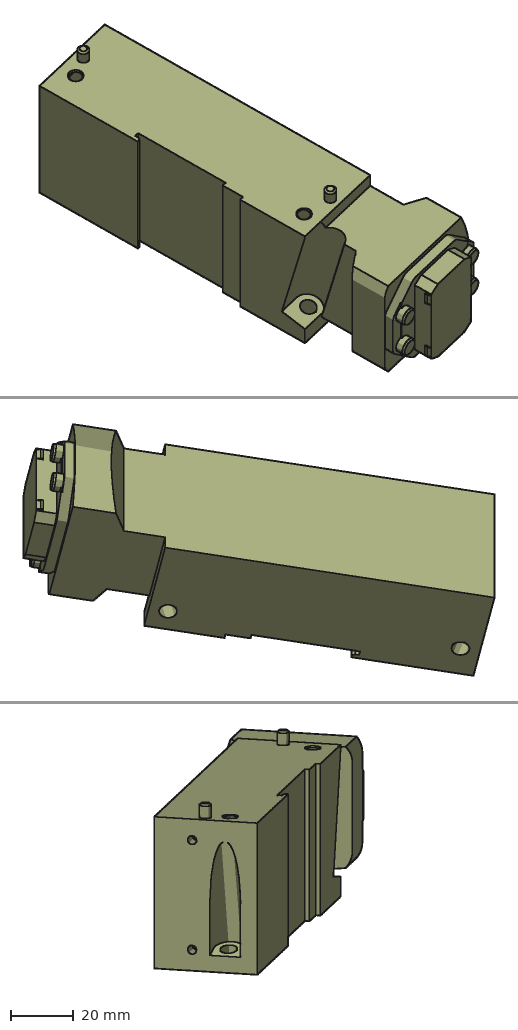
import cadquery as cq
import math

block_length = 107.4
block_width = 34.0
block_height = 50.0
mid_z = block_height / 2

rail_left = 39.8
rail_step = 73.0
rail_right = 81.2
rail_depth = 3.0
rail_step_depth = 1.5
undercut_length = 2.2
lip_chamfer = 0.9

bolt_pocket_diameter = 10.0
bolt_hole_diameter = 5.5
bolt_thread_diameter = 4.2
bolt_thread_depth = 12.0
bolt_mouth_diameter = 5.0
left_bolt_x = 6.4
left_bolt_y = 10.6
left_seat_height = 6.7
left_tilt = 15.0
right_bolt_x = 101.2
right_bolt_y = 7.6
right_seat_height = 7.6
right_tilt = 13.0

pin_diameter = 3.9
pin_height = 4.6
pin_tip_diameter = 2.4
pin_chamfer_height = 0.6
pin_end_distance = 3.7
pin_y = 18.0
dimple_diameter = 2.8
dimple_y = 21.5
dimple_offset_z = 18.0
dimple_depth = 6.0
drill_point_angle = 118.0

hood_height = 40.0
hood_bottom = mid_z - hood_height / 2
hood_top = mid_z + hood_height / 2
hood_end = 138.9
hood_front = 0.9
hood_back = 45.0
hood_flare_angle = 60.0
neck_front = 8.7
neck_back_length = 13.5
neck_front_length = 13.9
hood_back_crown = 4.2
hood_corner_radius = 8.4
hood_corner_depth = 2.0

plate_y = 22.4
plate_width = 42.2
plate_height = 36.9
plate_corner = 10.1
plate_corner_radius = 3.0
plate_end = 142.0
flange_end = 142.5
flange_width = 34.3

plug_end = 149.2
plug_width = 20.7
plug_height = 34.0
plug_chamfer_y = 3.5
plug_chamfer_z = 2.0
latch_start = 147.0
latch_peak = 147.9
latch_height = 0.5
latch_width = 4.3
latch_offset_z = 12.2

screw_diameter = 6.0
screw_height = 2.8
screw_chamfer_length = 0.7
screw_chamfer_depth = 0.3
screw_offset_y = 16.5
screw_offset_z = 7.0


def cylinder(diameter, length, origin, direction):
    """Round bar from an origin along a direction."""
    bar = cq.Solid.makeCylinder(diameter / 2, length, cq.Vector(*origin), cq.Vector(*direction))
    return cq.Workplane(bar)


def cone(diameter, end_diameter, length, origin, direction):
    """Tapered bar from an origin along a direction."""
    bar = cq.Solid.makeCone(diameter / 2, end_diameter / 2, length, cq.Vector(*origin), cq.Vector(*direction))
    return cq.Workplane(bar)


def end_plane(x):
    """Sketch plane facing +X whose local axes are Y and Z."""
    return cq.Workplane("YZ", origin=(x, 0, 0))


def make_block():
    outline = [
        (0, 0),
        (rail_left, 0),
        (rail_left, lip_chamfer),
        (rail_left - lip_chamfer, rail_step_depth),
        (rail_left - undercut_length, rail_step_depth),
        (rail_left - undercut_length, rail_depth),
        (rail_step, rail_depth),
        (rail_step, rail_step_depth),
        (rail_right, rail_step_depth),
        (rail_right, 0),
        (block_length, 0),
        (block_length, block_width),
        (0, block_width),
    ]
    return cq.Workplane("XY").polyline(outline).close().extrude(block_height)


def make_hood():
    """Flared hood: its plan outline cut to a crowned, corner-rounded end profile."""
    flare = math.tan(math.radians(hood_flare_angle))
    back_start = block_length + neck_back_length
    front_start = block_length + neck_front_length
    plan = [
        (block_length, neck_front),
        (front_start, neck_front),
        (front_start + (neck_front - hood_front) / flare, hood_front),
        (hood_end, hood_front),
        (hood_end, hood_back),
        (back_start + (hood_back - block_width) / flare, hood_back),
        (back_start, block_width),
        (block_length, block_width),
    ]
    body = cq.Workplane("XY", origin=(0, 0, hood_bottom)).polyline(plan).close().extrude(hood_height)

    sweep = math.acos(1 - hood_corner_depth / hood_corner_radius)
    corner_rise = hood_corner_radius * math.sin(sweep)
    mid_rise = hood_corner_radius * math.sin(sweep / 2)
    mid_y = hood_front + hood_corner_radius * (1 - math.cos(sweep / 2))
    corner_y = hood_front + hood_corner_depth
    edge_y = hood_back - hood_back_crown
    low_z = hood_bottom + corner_rise
    high_z = hood_top - corner_rise
    profile = (
        end_plane(block_length)
        .moveTo(corner_y, hood_bottom)
        .lineTo(edge_y, hood_bottom)
        .threePointArc((hood_back, mid_z), (edge_y, hood_top))
        .lineTo(corner_y, hood_top)
        .threePointArc((mid_y, high_z + mid_rise), (hood_front, high_z))
        .lineTo(hood_front, low_z)
        .threePointArc((mid_y, low_z - mid_rise), (corner_y, hood_bottom))
        .close()
        .extrude(hood_end - block_length)
    )
    return body.intersect(profile)


def make_plate():
    """Eight-sided connector plate with a narrower flange on its face."""
    plate = (
        end_plane(hood_end)
        .center(plate_y, mid_z)
        .rect(plate_width, plate_height)
        .extrude(flange_end - hood_end)
        .edges("|X")
        .chamfer(plate_corner)
        .edges("|X")
        .fillet(plate_corner_radius)
    )
    side_width = (plate_width - flange_width) / 2
    for side in (-1, 1):
        center_y = plate_y + side * (plate_width - side_width) / 2
        step = end_plane(plate_end).center(center_y, mid_z).rect(side_width, plate_height)
        plate = plate.cut(step.extrude(flange_end - plate_end))
    return plate


def make_plug():
    half_y = plug_width / 2
    half_z = plug_height / 2
    outline = [
        (half_y, half_z - plug_chamfer_z),
        (half_y - plug_chamfer_y, half_z),
        (plug_chamfer_y - half_y, half_z),
        (-half_y, half_z - plug_chamfer_z),
        (-half_y, plug_chamfer_z - half_z),
        (plug_chamfer_y - half_y, -half_z),
        (half_y - plug_chamfer_y, -half_z),
        (half_y, plug_chamfer_z - half_z),
    ]
    section = end_plane(flange_end).center(plate_y, mid_z).polyline(outline).close()
    plug = section.extrude(plug_end - flange_end)
    for side_y in (-1, 1):
        root_y = plate_y + side_y * half_y
        peak_y = root_y + side_y * latch_height
        ramp = [
            (latch_start, plate_y),
            (latch_start, peak_y),
            (latch_peak, peak_y),
            (plug_end, root_y),
            (plug_end, plate_y),
        ]
        for side_z in (-1, 1):
            low_z = mid_z + side_z * latch_offset_z - latch_width / 2
            latch = cq.Workplane("XY", origin=(0, 0, low_z)).polyline(ramp).close().extrude(latch_width)
            plug = plug.union(latch)
    return plug


def drilled_hole(diameter, depth, origin, direction):
    """Blind hole tool with a drill point beyond its depth."""
    point_length = diameter / 2 / math.tan(math.radians(drill_point_angle / 2))
    point_origin = [start + depth * step for start, step in zip(origin, direction)]
    point = cone(diameter, 0, point_length, point_origin, direction)
    return cylinder(diameter, depth, origin, direction).union(point)


def make_screw(y, z):
    tip_diameter = screw_diameter - 2 * screw_chamfer_depth
    tip_start = flange_end + screw_height - screw_chamfer_length
    head = cylinder(screw_diameter, tip_start - plate_end, (plate_end, y, z), (1, 0, 0))
    return head.union(cone(screw_diameter, tip_diameter, screw_chamfer_length, (tip_start, y, z), (1, 0, 0)))


def make_pin(x):
    shank_height = pin_height - pin_chamfer_height
    shank = cylinder(pin_diameter, shank_height, (x, pin_y, block_height), (0, 0, 1))
    tip_base = (x, pin_y, block_height + shank_height)
    return shank.union(cone(pin_diameter, pin_tip_diameter, pin_chamfer_height, tip_base, (0, 0, 1)))


def make_bolt_cut(x, y, seat_height, lean, opening_direction):
    """Slanted bolt room: pocket above a seat, open to one side, with a hole through the seat."""
    radius = bolt_pocket_diameter / 2
    reach = 2 * block_height
    along = seat_height / math.cos(math.radians(lean))
    pocket = cq.Workplane("XY", origin=(0, 0, along)).circle(radius).extrude(reach)
    open_x, open_y = opening_direction
    slot_length = bolt_pocket_diameter if open_x == 0 else reach
    slot_width = bolt_pocket_diameter if open_y == 0 else reach
    slot_origin = (open_x * reach / 2, open_y * reach / 2, along)
    slot = cq.Workplane("XY", origin=slot_origin).rect(slot_length, slot_width).extrude(reach)
    hole_start = -radius
    hole_profile = cq.Workplane("XY", origin=(0, 0, hole_start)).circle(bolt_hole_diameter / 2)
    hole = hole_profile.extrude(along - hole_start)
    cut = pocket.union(slot).union(hole)
    return cut.rotate((0, 0, 0), (0, 1, 0), lean).translate((x, y, 0))


def make_thread_cut(x, y, lean):
    """Slanted threaded hole in the top face, for the bolt of the next block, with a countersunk mouth."""
    slant = math.radians(lean)
    downward = (-math.sin(slant), 0, -math.cos(slant))
    mouth = (x, y, block_height)
    sink_depth = (bolt_mouth_diameter - bolt_thread_diameter) / 2
    sink = cone(bolt_mouth_diameter, bolt_thread_diameter, sink_depth, mouth, (0, 0, -1))
    return drilled_hole(bolt_thread_diameter, bolt_thread_depth, mouth, downward).union(sink)


def make_dimple_cut(z):
    return drilled_hole(dimple_diameter, dimple_depth, (0, dimple_y, z), (1, 0, 0))


result = make_block()
for solid in (make_hood(), make_plate(), make_plug()):
    result = result.union(solid)

for side_y in (-1, 1):
    for side_z in (-1, 1):
        result = result.union(make_screw(plate_y + side_y * screw_offset_y, mid_z + side_z * screw_offset_z))

for x in (pin_end_distance, block_length - pin_end_distance):
    result = result.union(make_pin(x))

result = result.cut(make_bolt_cut(left_bolt_x, left_bolt_y, left_seat_height, -left_tilt, (-1, 0)))
result = result.cut(make_bolt_cut(right_bolt_x, right_bolt_y, right_seat_height, right_tilt, (0, -1)))
result = result.cut(make_thread_cut(left_bolt_x, left_bolt_y, -left_tilt))
result = result.cut(make_thread_cut(right_bolt_x, right_bolt_y, right_tilt))
for side in (-1, 1):
    result = result.cut(make_dimple_cut(mid_z + side * dimple_offset_z))